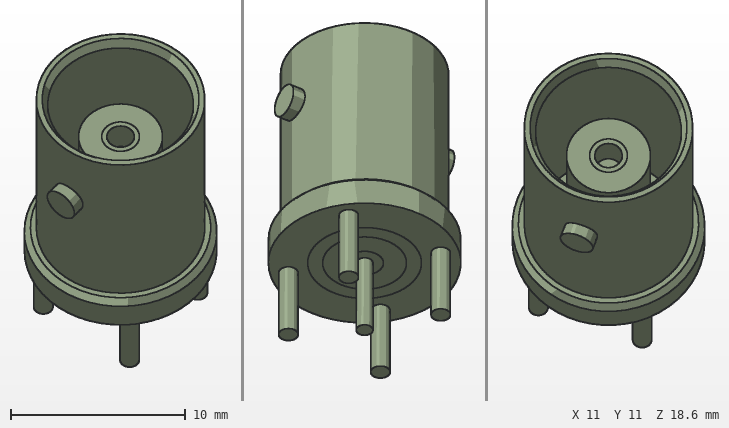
import cadquery as cq

total_height = 18.6
leg_bottom = 0.39
base_bottom = 4.9
flange_top = 6.94
stud_height = 14.35
lead_in_depth = 0.48
insulator_depth = 3.39
socket_depth = 1.86
floor_height = flange_top
lead_in_end = total_height - lead_in_depth
insulator_top = total_height - insulator_depth

flange_radius = 5.5
flange_chamfer = 0.35
barrel_radius = 4.82
rim_radius = 4.48
taper_mouth_radius = 4.17
bore_radius = 4.05
sleeve_radius = 3.25
insulator_radius = 2.4
contact_radius = 1.08
socket_radius = 0.78
tail_radius = 0.48
leg_radius = 0.55
stud_radius = 0.99

stud_reach = 5.5
stud_start = 4.55
leg_offset = 3.15


def cylinder(radius, bottom, top):
    return cq.Workplane("XY").workplane(offset=bottom).circle(radius).extrude(top - bottom)


def tube(outer_radius, inner_radius, bottom, top):
    return (
        cq.Workplane("XY")
        .workplane(offset=bottom)
        .circle(outer_radius)
        .circle(inner_radius)
        .extrude(top - bottom)
    )


def make_stud(side):
    """Bayonet stud rooted in the barrel wall on the side given by the sign of Y."""
    return (
        cq.Workplane("XZ", origin=(0, side * stud_start, stud_height))
        .circle(stud_radius)
        .extrude(-side * (stud_reach - stud_start))
    )


def make_housing():
    """Flanged barrel with a tapered bore and two bayonet studs."""
    profile = [
        (sleeve_radius, base_bottom),
        (flange_radius, base_bottom),
        (flange_radius, flange_top - flange_chamfer),
        (flange_radius - flange_chamfer, flange_top),
        (barrel_radius, flange_top),
        (barrel_radius, total_height),
        (rim_radius, total_height),
        (taper_mouth_radius, lead_in_end),
        (bore_radius, floor_height),
        (sleeve_radius, floor_height),
    ]
    body = cq.Workplane("XZ").polyline(profile).close().revolve(360, (0, 0, 0), (0, 1, 0))
    for side in (-1, 1):
        body = body.union(make_stud(side))
    return body.solids()


def make_sleeve():
    """Ring between the housing and the insulator, flush with the bore floor."""
    return tube(sleeve_radius, insulator_radius, base_bottom, floor_height)


def make_insulator():
    """Post around the contact, rising from the base into the bore."""
    return tube(insulator_radius, contact_radius, base_bottom, insulator_top)


def make_contact():
    """Centre contact with a blind socket above and a thin tail below."""
    head = cylinder(contact_radius, base_bottom, insulator_top)
    tail = cylinder(tail_radius, 0, base_bottom)
    socket = cylinder(socket_radius, insulator_top - socket_depth, insulator_top)
    return head.union(tail).cut(socket).solids()


def make_leg(x, y):
    """Mounting leg standing against the underside of the housing."""
    return cylinder(leg_radius, leg_bottom, base_bottom).translate((x, y, 0))


housing = make_housing()
sleeve = make_sleeve()
insulator = make_insulator()
contact = make_contact()
legs = [
    make_leg(x, y).val()
    for x in (-leg_offset, leg_offset)
    for y in (-leg_offset, leg_offset)
]

result = cq.Compound.makeCompound(
    [housing.val(), sleeve.val(), insulator.val(), contact.val(), *legs]
)